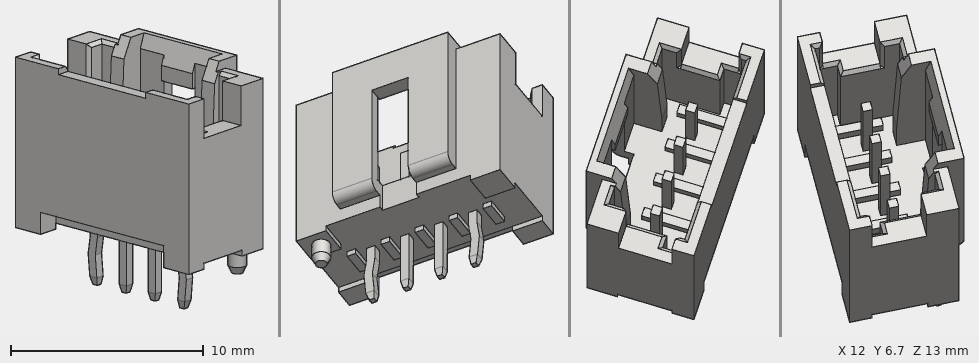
import cadquery as cq

WIDTH = 12.0
FRONT_Y = -3.0
BACK_Y = 2.82
BODY_TOP = 9.28

FLOOR_Z = 2.0
CAVITY_HALF_X = 4.52
CAVITY_BACK_Y = 2.1
KEY_HALF_X = 5.2
KEY_FRONT_Y = -2.25
KEY_BACK_Y = -1.05
MOUTH_CHAMFER = 0.2

SIDE_NOTCH_FRONT_Y = -1.8
SIDE_NOTCH_BACK_Y = 1.1
SIDE_NOTCH_Z = 7.13
DIP_HALF_X = 3.02
DIP_DEPTH = 0.32

LATCH_HALF_X = 3.4
LATCH_BACK_Y = 3.7
LATCH_BOTTOM = 1.13
LATCH_TOP = 9.78
LATCH_RADIUS = 0.5
ARM_INNER_X = 2.7
ARM_OUTER_X = 3.57
ARM_TOP_Y = 2.31
ARM_SLOPE_Y = 1.77
ARM_SLOPE_Z = 8.72
ARM_FOOT_Y = 1.52
ARM_FOOT_Z = 3.8

POCKET_BACK_Y = 3.05
LEAD_IN_TOP_Y = 3.34
LEAD_IN_Z = 8.99
TOOTH_FRONT_Y = 2.86
TOOTH_BOTTOM = 7.63
WINDOW_HALF_X = 1.07
WINDOW_FRONT_Y = 2.53

STANDOFF = 0.32
UNDERCUT_HALF_X = 4.25
UNDERCUT_FRONT_Y = -1.8
UNDERCUT_BACK_Y = 1.17
FRONT_RECESS_HEIGHT = 1.2

PITCH = 2.0
PIN_COUNT = 4
RIB_WIDTH = 0.5
FLOOR_RIB_HEIGHT = 0.5
FLOOR_RIB_BACK_Y = 1.05
FOOT_FRONT_Y = -0.92
FOOT_BACK_Y = 0.5

PIN_SIZE = 0.5
PIN_TOP = 6.0
PIN_BEND_START_Z = -0.5
PIN_BEND_PEAK_Z = -1.5
PIN_TAPER_Z = -2.72
PIN_TIP_Z = -3.17
PIN_TIP_SIZE = 0.3
BEND_PEAK_OFFSET = 0.15
BEND_END_OFFSET = 0.04

PEG_X = 5.02
PEG_Y = 1.9
PEG_RADIUS = 0.5
PEG_TIP_RADIUS = 0.3
PEG_TAPER_Z = -0.85
PEG_TIP_Z = -1.27


def block(x0, x1, y0, y1, z0, z1):
    """Box given by its limits along each axis."""
    return cq.Workplane("XY").box(x1 - x0, y1 - y0, z1 - z0, centered=False).translate((x0, y0, z0))


def centred_block(half_x, y0, y1, z0, z1):
    """Box that is symmetric about the YZ plane."""
    return block(-half_x, half_x, y0, y1, z0, z1)


def side_profile(points, x0, x1):
    """Extrude a (y, z) outline from x0 to x1."""
    return cq.Workplane("YZ").workplane(offset=x0).polyline(points).close().extrude(x1 - x0)


def cavity_outline(z, margin=0.0):
    """T-shaped cavity outline at height z, grown outwards by margin.

    The main bay is narrower than the key bay at the front.
    """
    main_x = CAVITY_HALF_X + margin
    key_x = KEY_HALF_X + margin
    front_y = KEY_FRONT_Y - margin
    step_y = KEY_BACK_Y + margin
    back_y = CAVITY_BACK_Y + margin
    return (
        cq.Workplane("XY")
        .workplane(offset=z)
        .polyline([
            (-key_x, front_y),
            (key_x, front_y),
            (key_x, step_y),
            (main_x, step_y),
            (main_x, back_y),
            (-main_x, back_y),
            (-main_x, step_y),
            (-key_x, step_y),
        ])
        .close()
    )


def mouth_flare(top_z):
    """Cavity outline that widens up to top_z, leaving a 45 degree chamfer with sharp mitres."""
    lower = cavity_outline(top_z - MOUTH_CHAMFER).wires().val()
    upper = cavity_outline(top_z, MOUTH_CHAMFER).wires().val()
    return cq.Workplane(cq.Solid.makeLoft([lower, upper], True))


def notch_edge_chamfer(notch_y, into_wall, inner_x):
    """Chamfer the upright edges between the cavity walls at inner_x and a notch end face."""
    reach = MOUTH_CHAMFER * into_wall
    right = (
        cq.Workplane("XY")
        .workplane(offset=SIDE_NOTCH_Z - MOUTH_CHAMFER)
        .polyline([
            (inner_x, notch_y),
            (inner_x + MOUTH_CHAMFER, notch_y),
            (inner_x, notch_y + reach),
        ])
        .close()
        .extrude(BODY_TOP - SIDE_NOTCH_Z + MOUTH_CHAMFER)
    )
    return right.union(right.mirror("YZ"))


def make_shell():
    """Open box with the chamfered cavity, side notches and front dip."""
    half = WIDTH / 2
    shell = centred_block(half, FRONT_Y, BACK_Y, 0, BODY_TOP)
    shell = shell.cut(cavity_outline(FLOOR_Z).extrude(BODY_TOP - FLOOR_Z))
    shell = shell.cut(mouth_flare(BODY_TOP))
    shell = shell.cut(
        centred_block(half, SIDE_NOTCH_FRONT_Y, SIDE_NOTCH_BACK_Y, SIDE_NOTCH_Z, BODY_TOP)
    )
    notch_span = centred_block(half, SIDE_NOTCH_FRONT_Y, SIDE_NOTCH_BACK_Y, 0, BODY_TOP)
    shell = shell.cut(mouth_flare(SIDE_NOTCH_Z).intersect(notch_span))
    shell = shell.cut(notch_edge_chamfer(SIDE_NOTCH_BACK_Y, 1, CAVITY_HALF_X))
    shell = shell.cut(notch_edge_chamfer(SIDE_NOTCH_FRONT_Y, -1, KEY_HALF_X))
    dip = centred_block(DIP_HALF_X, FRONT_Y, KEY_FRONT_Y, BODY_TOP - DIP_DEPTH, BODY_TOP)
    return shell.cut(dip)


def add_latch(body):
    """Add the latch housing and arms, then cut the latch pocket and window."""
    housing = centred_block(LATCH_HALF_X, BACK_Y, LATCH_BACK_Y, LATCH_BOTTOM, LATCH_TOP)
    housing = housing.edges("|X and >Y and <Z").fillet(LATCH_RADIUS)
    arms = side_profile(
        [
            (BACK_Y, FLOOR_Z),
            (BACK_Y, LATCH_TOP),
            (ARM_TOP_Y, LATCH_TOP),
            (ARM_SLOPE_Y, ARM_SLOPE_Z),
            (ARM_FOOT_Y, ARM_FOOT_Z),
            (ARM_FOOT_Y, FLOOR_Z),
        ],
        -ARM_OUTER_X,
        ARM_OUTER_X,
    )
    above_body = centred_block(ARM_OUTER_X, ARM_FOOT_Y, BACK_Y, BODY_TOP, LATCH_TOP)
    latch_width = centred_block(LATCH_HALF_X, ARM_FOOT_Y, BACK_Y, BODY_TOP, LATCH_TOP)
    arms = arms.cut(above_body.cut(latch_width))
    body = body.union(arms).union(housing)

    pocket = side_profile(
        [
            (ARM_FOOT_Y, FLOOR_Z),
            (POCKET_BACK_Y, FLOOR_Z),
            (POCKET_BACK_Y, LEAD_IN_Z),
            (LEAD_IN_TOP_Y, LATCH_TOP),
            (ARM_FOOT_Y, LATCH_TOP),
        ],
        -ARM_INNER_X,
        ARM_INNER_X,
    )
    lead_in_slope = (LATCH_TOP - LEAD_IN_Z) / (LEAD_IN_TOP_Y - POCKET_BACK_Y)
    tooth_slope_z = LEAD_IN_Z - (POCKET_BACK_Y - TOOTH_FRONT_Y) * lead_in_slope
    tooth = side_profile(
        [
            (POCKET_BACK_Y, TOOTH_BOTTOM),
            (POCKET_BACK_Y, LEAD_IN_Z),
            (TOOTH_FRONT_Y, tooth_slope_z),
            (TOOTH_FRONT_Y, TOOTH_BOTTOM),
        ],
        -WINDOW_HALF_X,
        WINDOW_HALF_X,
    )
    window = centred_block(WINDOW_HALF_X, WINDOW_FRONT_Y, LATCH_BACK_Y, 0, TOOTH_BOTTOM)
    return body.cut(pocket).union(tooth).cut(window)


def cut_underside(body):
    """Relieve the underside so that the part stands on its four corners."""
    half = WIDTH / 2
    body = body.cut(centred_block(UNDERCUT_HALF_X, FRONT_Y, BACK_Y, 0, STANDOFF))
    body = body.cut(centred_block(half, UNDERCUT_FRONT_Y, UNDERCUT_BACK_Y, 0, STANDOFF))
    return body.cut(
        centred_block(UNDERCUT_HALF_X, FRONT_Y, UNDERCUT_FRONT_Y, 0, FRONT_RECESS_HEIGHT)
    )


def add_ribs(body):
    """Add a floor rib and a foot rib on both sides of every pin."""
    for index in range(PIN_COUNT + 1):
        x = (index - PIN_COUNT / 2) * PITCH
        x0 = x - RIB_WIDTH / 2
        x1 = x + RIB_WIDTH / 2
        body = body.union(
            block(x0, x1, KEY_FRONT_Y, FLOOR_RIB_BACK_Y, FLOOR_Z, FLOOR_Z + FLOOR_RIB_HEIGHT)
        )
        body = body.union(block(x0, x1, FOOT_FRONT_Y, FOOT_BACK_Y, 0, STANDOFF))
    return body


def make_pin(x, bend):
    """Square pin at x; bend is -1, 0 or 1 for the side its tail bows towards.

    A bowed tail comes back to x at its tip.
    """
    half = PIN_SIZE / 2
    peak_x = x + bend * BEND_PEAK_OFFSET
    end_x = x + bend * BEND_END_OFFSET
    axis = [(x, PIN_TOP)]
    if bend:
        axis += [(x, PIN_BEND_START_Z), (peak_x, PIN_BEND_PEAK_Z)]
    axis.append((end_x, PIN_TAPER_Z))
    left = [(px - half, pz) for px, pz in axis]
    right = [(px + half, pz) for px, pz in reversed(axis)]
    shank = cq.Workplane("XZ").polyline(left + right).close().extrude(half, both=True)
    tip = (
        cq.Workplane("XY")
        .workplane(offset=PIN_TAPER_Z)
        .center(end_x, 0)
        .rect(PIN_SIZE, PIN_SIZE)
        .workplane(offset=PIN_TIP_Z - PIN_TAPER_Z)
        .center(x - end_x, 0)
        .rect(PIN_TIP_SIZE, PIN_TIP_SIZE)
        .loft()
    )
    return shank.union(tip)


def add_pins(body):
    """Add the pin row; the first and last tails bow outwards to grip the board."""
    for index in range(PIN_COUNT):
        bend = 0
        if index == 0:
            bend = -1
        elif index == PIN_COUNT - 1:
            bend = 1
        x = (index - (PIN_COUNT - 1) / 2) * PITCH
        body = body.union(make_pin(x, bend))
    return body


def make_peg():
    """Round locating peg with a conical tip."""
    peg = (
        cq.Workplane("XZ")
        .polyline([
            (0, 0),
            (PEG_RADIUS, 0),
            (PEG_RADIUS, PEG_TAPER_Z),
            (PEG_TIP_RADIUS, PEG_TIP_Z),
            (0, PEG_TIP_Z),
        ])
        .close()
        .revolve(360, (0, 0, 0), (0, 1, 0))
    )
    return peg.translate((PEG_X, PEG_Y, 0))


connector = make_shell()
connector = add_latch(connector)
connector = cut_underside(connector)
connector = add_ribs(connector)
connector = add_pins(connector)
result = connector.union(make_peg())